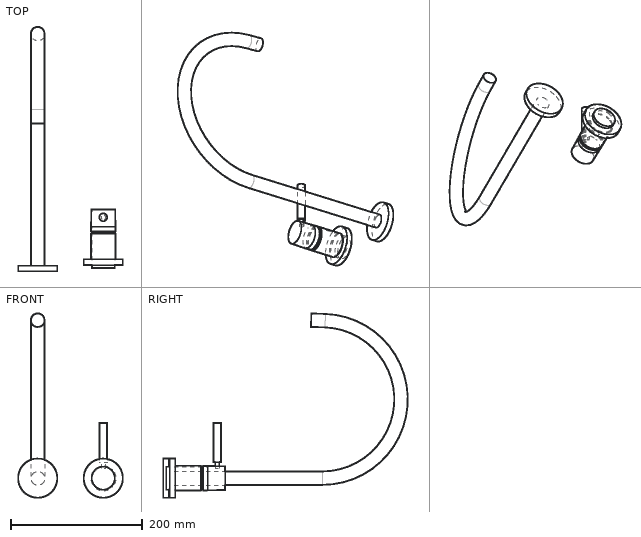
import cadquery as cq
import math

FLANGE_RADIUS = 30.0
FLANGE_THICKNESS = 9.0

TUBE_RADIUS = 10.5
BEND_START_Y = 242.0
BEND_RADIUS = 372.5 - BEND_START_Y - TUBE_RADIUS
BEND_ANGLE = 178.0
OUTLET_LENGTH = 21.2

VALVE_X = 100.0
CARTRIDGE_RADIUS = 17.5
CARTRIDGE_FRONT_Y = 5.0
VALVE_FLANGE_Y = 9.5
SLEEVE_RADIUS = 19.0
SLEEVE_START_Y = VALVE_FLANGE_Y + FLANGE_THICKNESS
SLEEVE_END_Y = 58.5
SLEEVE_CHAMFER = 1.0

HUB_START_Y = 60.7
HUB_END_Y = 94.2
HUB_START_RADIUS = SLEEVE_RADIUS
HUB_END_RADIUS = 18.3
CARTRIDGE_DEPTH_IN_HUB = 7.5
CARTRIDGE_END_Y = HUB_START_Y + CARTRIDGE_DEPTH_IN_HUB

LEVER_Y = 82.5
LEVER_RADIUS = 6.0
LEVER_BOTTOM_Z = 24.5
LEVER_TOP_Z = 84.0
NECK_RADIUS = 3.5
NECK_BOTTOM_Z = 15.0


def y_cylinder(radius, start_y, end_y, x=0):
    """Cylinder along +Y, centred on the given X and on Z = 0."""
    base = cq.Workplane("XZ", origin=(x, start_y, 0))
    return base.circle(radius).extrude(start_y - end_y)


def z_cylinder(radius, bottom_z, top_z):
    """Upright cylinder on the lever axis."""
    base = cq.Workplane("XY", origin=(VALVE_X, LEVER_Y, bottom_z))
    return base.circle(radius).extrude(top_z - bottom_z)


def make_flange(x, front_y):
    return y_cylinder(FLANGE_RADIUS, front_y, front_y + FLANGE_THICKNESS, x)


def make_spout_tube():
    """Straight run, hooked bend and straight outlet in the YZ plane."""
    def bend_point(angle):
        turn = math.radians(angle)
        return (BEND_START_Y + BEND_RADIUS * math.sin(turn), BEND_RADIUS * (1 - math.cos(turn)))

    bend_end = bend_point(BEND_ANGLE)
    end_turn = math.radians(BEND_ANGLE)
    outlet = (
        bend_end[0] + OUTLET_LENGTH * math.cos(end_turn),
        bend_end[1] + OUTLET_LENGTH * math.sin(end_turn),
    )
    path = (
        cq.Workplane("YZ")
        .moveTo(FLANGE_THICKNESS, 0)
        .lineTo(BEND_START_Y, 0)
        .threePointArc(bend_point(BEND_ANGLE / 2), bend_end)
        .lineTo(*outlet)
    )
    section = cq.Workplane("XZ", origin=(0, FLANGE_THICKNESS, 0)).circle(TUBE_RADIUS)
    return section.sweep(path)


def make_cartridge():
    """Core that passes through the flange and sleeve and ends inside the hub."""
    return y_cylinder(CARTRIDGE_RADIUS, CARTRIDGE_FRONT_Y, CARTRIDGE_END_Y, VALVE_X)


def make_lever():
    handle = z_cylinder(LEVER_RADIUS, LEVER_BOTTOM_Z, LEVER_TOP_Z)
    neck = z_cylinder(NECK_RADIUS, NECK_BOTTOM_Z, LEVER_BOTTOM_Z)
    return handle.union(neck)


def make_sleeve(cartridge):
    sleeve = y_cylinder(SLEEVE_RADIUS, SLEEVE_START_Y, SLEEVE_END_Y, VALVE_X)
    return sleeve.faces(">Y").chamfer(SLEEVE_CHAMFER).cut(cartridge)


def make_hub(cartridge, lever):
    """Solid cone frustum with recesses for the cartridge and the lever neck."""
    hub = (
        cq.Workplane("XY")
        .moveTo(0, HUB_START_Y)
        .lineTo(HUB_START_RADIUS, HUB_START_Y)
        .lineTo(HUB_END_RADIUS, HUB_END_Y)
        .lineTo(0, HUB_END_Y)
        .close()
        .revolve(360, (0, 0), (0, 1))
        .translate((VALVE_X, 0, 0))
    )
    return hub.cut(cartridge).cut(lever)


spout_flange = make_flange(0, 0)
spout_tube = make_spout_tube()
cartridge = make_cartridge()
lever = make_lever()
valve_flange = make_flange(VALVE_X, VALVE_FLANGE_Y).cut(cartridge)
sleeve = make_sleeve(cartridge)
hub = make_hub(cartridge, lever)

result = cq.Compound.makeCompound([
    spout_flange.val(),
    spout_tube.val(),
    valve_flange.val(),
    cartridge.val(),
    sleeve.val(),
    hub.val(),
    lever.val(),
])